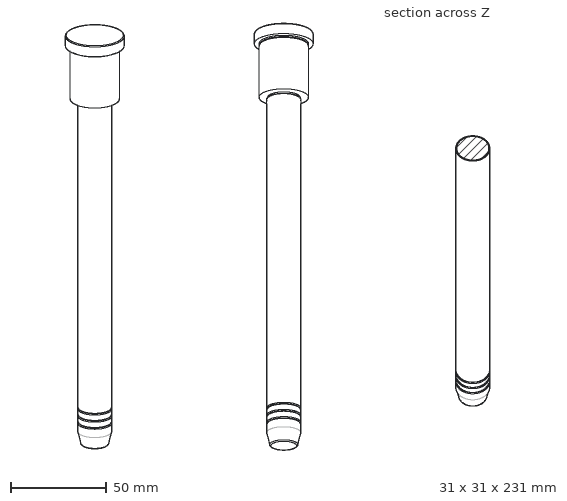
import cadquery as cq

total_length = 231.0

head_diameter = 31.0
head_height = 6.0
head_chamfer = 0.5
collar_diameter = 26.0
collar_end_depth = 36.0
head_relief_width = 1.2
head_relief_depth = 0.4

shaft_diameter = 18.0
neck_diameter = 17.0
neck_length = 1.0

groove_count = 3
first_groove_height = 12.5
groove_pitch = 4.0
groove_width = 1.0
groove_depth = 0.5

tip_length = 7.3
tip_end_diameter = 14.7
tip_end_chamfer = 0.6
tip_hollow = 0.15

head_bottom = total_length - head_height
collar_bottom = total_length - collar_end_depth


def cylinder(diameter, bottom, top):
    """Solid cylinder on the Z axis between two heights."""
    return cq.Workplane("XY", origin=(0, 0, bottom)).circle(diameter / 2).extrude(top - bottom)


def v_groove(diameter, depth, bottom, width):
    """Ring that cuts a V-shaped groove into a cylinder of the given diameter."""
    radius = diameter / 2
    profile = (
        cq.Workplane("XZ")
        .moveTo(radius, bottom)
        .lineTo(radius - depth, bottom + width / 2)
        .lineTo(radius, bottom + width)
        .close()
    )
    return profile.revolve(360, (0, 0), (0, 1))


def tapered_tip():
    """Slightly hollow taper narrowing down to the chamfered end face."""
    end_radius = tip_end_diameter / 2
    shaft_radius = shaft_diameter / 2
    arc_middle = ((end_radius + shaft_radius) / 2 - tip_hollow, tip_length / 2)
    profile = (
        cq.Workplane("XZ")
        .lineTo(end_radius, 0)
        .threePointArc(arc_middle, (shaft_radius, tip_length))
        .lineTo(0, tip_length)
        .close()
    )
    tip = profile.revolve(360, (0, 0), (0, 1))
    return tip.faces("<Z").edges().chamfer(tip_end_chamfer)


def shaft():
    """Shaft with its tip, grooves and the thinner neck below the collar."""
    neck_bottom = collar_bottom - neck_length
    body = tapered_tip().union(cylinder(shaft_diameter, tip_length, neck_bottom))
    for index in range(groove_count):
        bottom = first_groove_height + index * groove_pitch - groove_width / 2
        body = body.cut(v_groove(shaft_diameter, groove_depth, bottom, groove_width))
    return body.union(cylinder(neck_diameter, neck_bottom, collar_bottom))


def headed_collar():
    """Collar and head with the relief groove between them."""
    collar = cylinder(collar_diameter, collar_bottom, head_bottom)
    relief_bottom = head_bottom - head_relief_width
    relief = v_groove(collar_diameter, head_relief_depth, relief_bottom, head_relief_width)
    head = cylinder(head_diameter, head_bottom, total_length).faces(">Z").edges().chamfer(head_chamfer)
    return collar.cut(relief).union(head)


result = shaft().union(headed_collar())